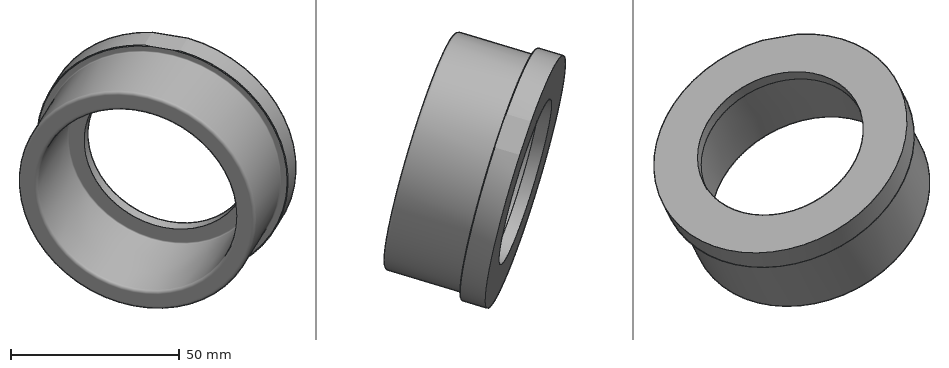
import cadquery as cq

total_length = 32.5
flange_thickness = 8.0
lip_thickness = 3.85

flange_radius = 39.2
sleeve_radius = 36.9
bore_mouth_radius = 30.9
bore_floor_radius = 30.65
hole_radius = 25.6

flat_height = 38.8

rim_fillet = 1.0
root_fillet = 0.4
flange_chamfer = 0.2
floor_fillet = 0.5

flange_front = total_length - flange_thickness
bore_depth = total_length - lip_thickness


def revolved_body():
    """Flanged sleeve with a tapered bore and a smaller through hole."""
    profile = (
        cq.Workplane("XY")
        .moveTo(bore_mouth_radius, 0)
        .lineTo(sleeve_radius, 0)
        .lineTo(sleeve_radius, flange_front - root_fillet)
        .radiusArc((sleeve_radius + root_fillet, flange_front), root_fillet)
        .lineTo(flange_radius - flange_chamfer, flange_front)
        .lineTo(flange_radius, flange_front + flange_chamfer)
        .lineTo(flange_radius, total_length)
        .lineTo(hole_radius, total_length)
        .lineTo(hole_radius, bore_depth)
        .lineTo(bore_floor_radius - floor_fillet, bore_depth)
        .radiusArc((bore_floor_radius, bore_depth - floor_fillet), floor_fillet)
        .close()
    )
    return profile.revolve(360, (0, 0, 0), (0, 1, 0))


def flange_flat():
    """Block that trims the top of the flange to a flat."""
    return cq.Workplane("XY").box(
        2 * flange_radius, total_length, flange_radius, centered=(True, False, False)
    ).translate((0, 0, flat_height))


body = revolved_body()
body = body.faces("<Y").edges().fillet(rim_fillet)
body = body.cut(flange_flat())
result = body